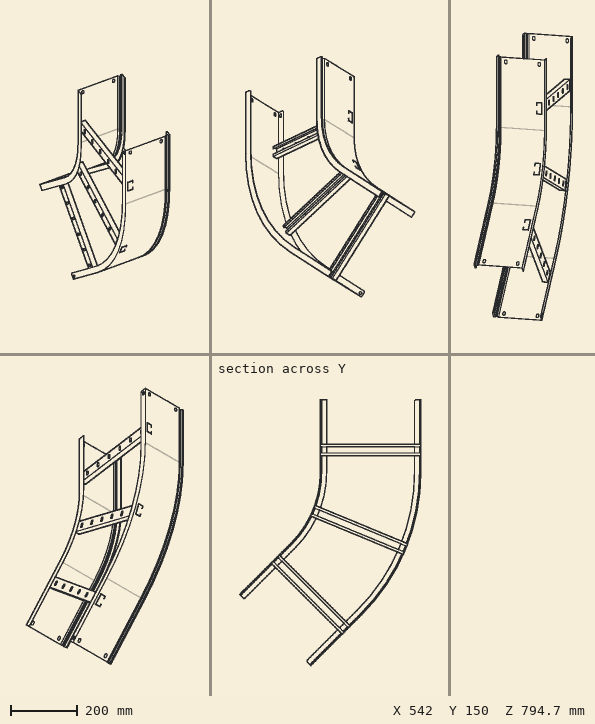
import cadquery as cq
import math


bend_angle = 45.0
outer_radius = 600.0
ladder_width = 301.0
inner_radius = outer_radius - ladder_width
leg_length = 217.0

rail_height = 150.0
flange_width = 20.0
rail_sheet = 1.0
far_flange_lip = 3.0
groove_depth = 4.0
groove_mouth_start = 5.0
groove_floor_start = 8.0
groove_floor_end = 11.0
groove_mouth_end = 15.0

coupling_slot_length = 12.0
coupling_slot_width = 7.0
coupling_slot_from_end = 14.0
web_slot_heights = (17.0, rail_height - 29.5)
flange_slot_inset = 9.0
flange_corner_chamfer = 4.0

rung_width = 36.0
rung_depth = 17.5
rung_sheet = 1.2
rung_lip = 9.0
rung_base_y = 8.0
rung_from_end = 150.0
rung_slot_count = 6
rung_slot_pitch = 49.0
rung_slot_length = 15.0
rung_slot_width = 7.0

mid_radius = (inner_radius + outer_radius) / 2

rung_shift = leg_length - rung_from_end
rung_stations = [(0, rung_shift), (bend_angle / 2, 0), (bend_angle, -rung_shift)]


def at_station(shape, angle, shift):
    """Slide a shape drawn at the start of the bend along the rail, then swing it round the bend."""
    return shape.translate((0, 0, shift)).rotate((0, 0, 0), (0, 1, 0), angle)


def at_both_ends(shape, from_end):
    """Two copies of a shape that is symmetric in Z, each at a distance from one end of the rail."""
    shift = leg_length - from_end
    return [at_station(shape, 0, shift), at_station(shape, bend_angle, -shift)]


def bend_path(radius):
    """Leg, arc and leg at one radius, from the upper end to the lower end."""
    half = math.radians(bend_angle / 2)
    full = math.radians(bend_angle)
    arc_end = (radius * math.cos(full), -radius * math.sin(full))
    leg_end = (arc_end[0] - leg_length * math.sin(full), arc_end[1] - leg_length * math.cos(full))
    return (
        cq.Workplane("XZ")
        .moveTo(radius, leg_length)
        .lineTo(radius, 0)
        .threePointArc((radius * math.cos(half), -radius * math.sin(half)), arc_end)
        .lineTo(*leg_end)
    )


def rail_blank(web_radius, inward):
    """Bent channel whose web faces out at `web_radius`. `inward` is +1 or -1, towards the other rail."""

    def groove(offset):
        """One side of the pressed groove, `offset` behind the web face, as (depth, Y) points."""
        return [
            (offset, rail_height - groove_mouth_end),
            (offset + groove_depth, rail_height - groove_floor_end),
            (offset + groove_depth, rail_height - groove_floor_start),
            (offset, rail_height - groove_mouth_start),
        ]

    outside = [(0, 0)] + groove(0) + [(0, rail_height)]
    inside = (
        [(flange_width, 0), (flange_width, rail_sheet), (rail_sheet, rail_sheet)]
        + groove(rail_sheet)
        + [
            (rail_sheet, rail_height - rail_sheet),
            (flange_width - rail_sheet, rail_height - rail_sheet),
            (flange_width - rail_sheet, rail_height - far_flange_lip),
            (flange_width, rail_height - far_flange_lip),
            (flange_width, rail_height),
        ]
    )
    section = outside + inside[::-1]
    points = [(web_radius + inward * depth, y) for depth, y in section]
    return (
        cq.Workplane("XY", origin=(0, 0, leg_length))
        .polyline(points)
        .close()
        .sweep(bend_path(web_radius))
    )


def rung_bar():
    """Lipped channel, open towards +Y, longer than the ladder is wide, with its row of slots."""
    length = ladder_width + 2 * flange_width
    body = cq.Workplane("XY").box(length, rung_depth, rung_width)
    cavity = (
        cq.Workplane("XY")
        .box(length, rung_depth - 2 * rung_sheet, rung_width - 2 * rung_sheet)
    )
    mouth = (
        cq.Workplane("XY")
        .box(length, rung_depth, rung_width - 2 * rung_lip)
        .translate((0, rung_sheet, 0))
    )
    slots = (
        cq.Workplane("XZ")
        .rarray(rung_slot_pitch, 8, rung_slot_count, 1)
        .slot2D(rung_slot_length, rung_slot_width, 90)
        .extrude(rung_depth)
    )
    bar = body.cut(cavity).cut(mouth).cut(slots)
    return bar.translate((mid_radius, rung_base_y + rung_depth / 2, 0))


def ladder_envelope():
    """Space between the outside faces of the two rails, over their whole height."""
    corners = [(inner_radius, 0), (outer_radius, 0), (outer_radius, rail_height), (inner_radius, rail_height)]
    return (
        cq.Workplane("XY", origin=(0, 0, leg_length))
        .polyline(corners)
        .close()
        .sweep(bend_path(mid_radius))
    )


def web_slots(radius):
    """Coupling slots through a web, two at each end."""
    cutters = []
    for y in web_slot_heights:
        slot = (
            cq.Workplane("YZ", origin=(radius, y, 0))
            .slot2D(coupling_slot_length, coupling_slot_width, 90)
            .extrude(rail_sheet, both=True)
        )
        cutters += at_both_ends(slot, coupling_slot_from_end)
    return cutters


def flange_slots():
    """Coupling slots through the near (-Y) flange of the outer rail."""
    slot = (
        cq.Workplane("XZ", origin=(outer_radius - flange_slot_inset, 0, 0))
        .slot2D(coupling_slot_length, coupling_slot_width, 90)
        .extrude(rail_sheet, both=True)
    )
    return at_both_ends(slot, coupling_slot_from_end)


def flange_corners():
    """Diamond prisms centred on the flange corners of the outer rail, to chamfer its ends."""
    c = flange_corner_chamfer
    diamond = (
        cq.Workplane("XZ", origin=(outer_radius - flange_width, rail_height, 0))
        .polyline([(c, 0), (0, c), (-c, 0), (0, -c)])
        .close()
        .extrude(rail_height)
    )
    return at_both_ends(diamond, 0)


def cut_all(body, cutters):
    for cutter in cutters:
        body = body.cut(cutter)
    return body


envelope = ladder_envelope()
rungs = [at_station(rung_bar(), angle, shift).intersect(envelope) for angle, shift in rung_stations]

inner_rail = cut_all(rail_blank(inner_radius, 1), web_slots(inner_radius) + rungs)
outer_rail = cut_all(
    rail_blank(outer_radius, -1),
    web_slots(outer_radius) + flange_slots() + flange_corners() + rungs,
)

result = cq.Compound.makeCompound(
    [inner_rail.val(), outer_rail.val(), *[rung.val() for rung in rungs]]
)